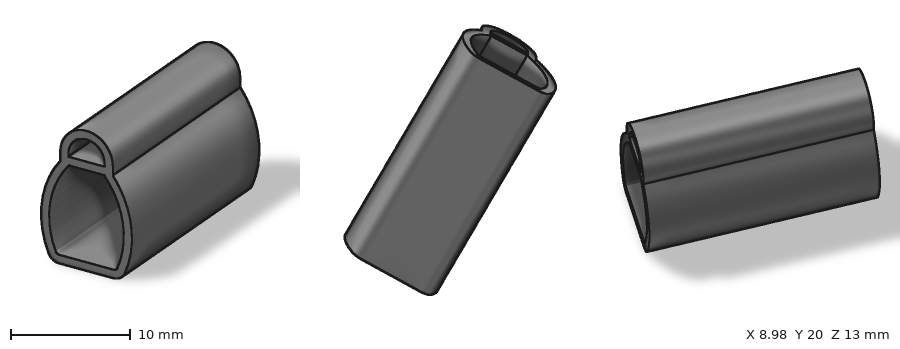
import cadquery as cq
import math

length = 20.0
width = 8.98
height = 13.0
wall = 0.8

side_radius = 8.6
widest_z = 4.15
floor_corner_radius = 1.2

dome_radius = 2.6
web_top = 10.15

side_center_x = width / 2 - side_radius
dome_center_z = height - dome_radius
web_bottom = web_top - wall


def side_half_width(radius, z):
    """Distance from the middle plane to a bowed side at height z."""
    return side_center_x + math.sqrt(radius**2 - (z - widest_z) ** 2)


def barrel(radius, bottom, top, corner_radius):
    """Solid bar with bowed sides, flat ends and rounded floor corners."""
    bottom_x = side_half_width(radius, bottom)
    top_x = side_half_width(radius, top)
    widest_x = side_center_x + radius
    return (
        cq.Workplane("XZ")
        .moveTo(-bottom_x, bottom)
        .lineTo(bottom_x, bottom)
        .threePointArc((widest_x, widest_z), (top_x, top))
        .lineTo(-top_x, top)
        .threePointArc((-widest_x, widest_z), (-bottom_x, bottom))
        .close()
        .extrude(length / 2, both=True)
        .edges("|Y and <Z")
        .fillet(corner_radius)
    )


def dome(radius, bottom):
    """Solid bar with a half-round top and straight sides down to a flat bottom."""
    return (
        cq.Workplane("XZ")
        .moveTo(-radius, bottom)
        .lineTo(radius, bottom)
        .lineTo(radius, dome_center_z)
        .threePointArc((0, dome_center_z + radius), (-radius, dome_center_z))
        .close()
        .extrude(length / 2, both=True)
    )


outer = barrel(side_radius, 0, web_top, floor_corner_radius).union(dome(dome_radius, web_bottom))

lower_bore = barrel(side_radius - wall, wall, web_bottom, floor_corner_radius - wall)
upper_bore = dome(dome_radius - wall, web_top)

result = outer.cut(lower_bore).cut(upper_bore)